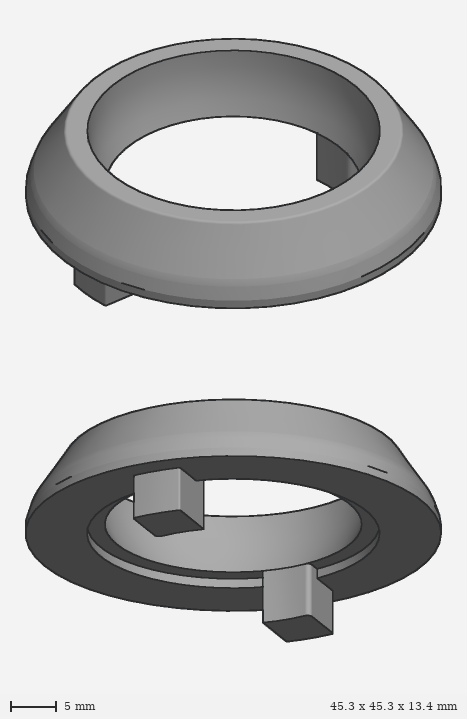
import cadquery as cq
import math

rim_radius = 22.65
rim_height = 1.0
ring_height = 8.43
shoulder_radius = 22.0
shoulder_height = 2.9
top_radius = 18.4
shoulder_blend = 3.2
top_rounding = 0.4

seat_top_radius = 15.95
lip_radius = 14.0
lip_height = 1.1
recess_radius = seat_top_radius

leg_length = 5.0
leg_width = 5.6
leg_outer_radius = 20.1
leg_outer_rounding = 0.23
leg_inner_rounding = 0.55


def make_ring():
    body = (
        cq.Workplane("XZ")
        .polyline([
            (0, 0),
            (rim_radius, 0),
            (rim_radius, rim_height),
            (shoulder_radius, shoulder_height),
            (top_radius, ring_height),
            (0, ring_height),
        ])
        .close()
        .revolve(360, (0, 0), (0, 1))
    )
    body = body.faces(">Z").edges().fillet(top_rounding)
    tolerance = 0.05
    shoulder_edge = cq.selectors.BoxSelector(
        (-tolerance, -tolerance, shoulder_height - tolerance),
        (tolerance, tolerance, shoulder_height + tolerance),
    )
    body = body.edges(shoulder_edge).fillet(shoulder_blend)

    seat_center = (
        seat_top_radius**2 - lip_radius**2 + ring_height**2 - lip_height**2
    ) / (2 * (ring_height - lip_height))
    seat_radius = math.hypot(lip_radius, seat_center - lip_height)
    seat = cq.Workplane("XY").sphere(seat_radius).translate((0, 0, seat_center))
    recess = cq.Workplane("XY").circle(recess_radius).extrude(lip_height)
    return body.cut(seat).cut(recess)


def make_leg():
    """Curved leg on the +Y side, reaching up to the ceiling of the recess."""
    full_height = leg_length + lip_height
    sleeve = (
        cq.Workplane("XY", origin=(0, 0, -leg_length))
        .circle(leg_outer_radius)
        .circle(lip_radius)
        .extrude(full_height)
    )
    slab = cq.Workplane("XY", origin=(0, 0, -leg_length)).box(
        leg_width, leg_outer_radius, full_height, centered=(True, False, False)
    )
    leg = sleeve.intersect(slab)
    leg = leg.faces(">Y").edges("|Z").fillet(leg_outer_rounding)
    return leg.faces(">X").edges("|Z").edges("<Y").fillet(leg_inner_rounding)


result = make_ring()
leg = make_leg()
for angle in (0, 180):
    result = result.union(leg.rotate((0, 0, 0), (0, 0, 1), angle))